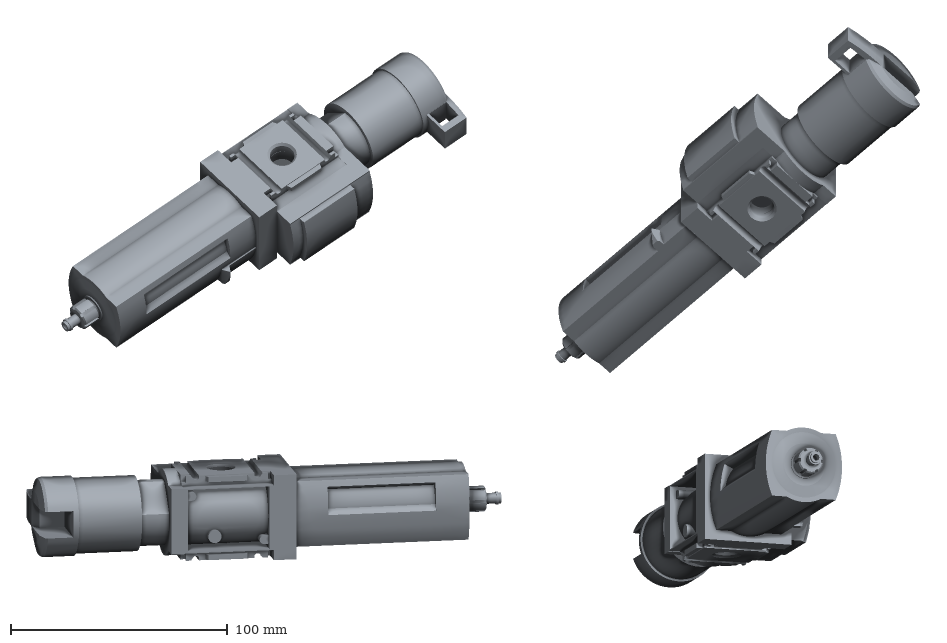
import cadquery as cq

KNOB_TOP = 87.2
CAP_RIM = 85.7
CAP_SHOULDER = 84.3
SLOT_FLOOR = 72.5
CAP_BASE = 70.0
KNOB_BASE = 40.2
HEAD_TOP = 27.0
HEAD_BASE = 21.2
COLLAR_TOP = -21.0
COLLAR_BASE = -31.7
BOWL_END = -113.5
BOWL_DISC = -114.0
NUT_TOP = -115.8
NUT_END = -123.9
BARB_START = -129.0
STEM_END = -131.3

HALF_WIDTH = 21.09
HALF_HEIGHT = 20.0
HEAD_HALF_HEIGHT = 15.5
RAIL_HALF_HEIGHT = 15.3
PAD_HALF_WIDTH = 15.0
RECESS_TOP = 19.2
RECESS_BASE = -19.0
RAIL_THICKNESS = 0.5
CORE_RADIUS = RAIL_HALF_HEIGHT - RAIL_THICKNESS
CORE_OFFSET = 2.6
CORNER_HALF_WIDTH = 11.5
CORNER_FLOOR = 16.8
GROOVE_OUTER = 16.8
GROOVE_INNER = 13.1
GROOVE_DEPTH = 2.2
GROOVE_LOWEST = 14.5
GROOVE_ARC_START = 15.7
GROOVE_ARC_DEPTH = 1.5
STUB_WIDTH = 1.3
STUB_END = 19.2
LIP_REACH = 2.5
LIP_TOP = 19.7
LIP_BASE = 17.3
LIP_HALF_LENGTH = 9.0
LIP_ROOT_HALF_LENGTH = 10.0
PORT_DIAMETER = 11.4
PORT_MOUTH_DIAMETER = 13.5
PORT_DEPTH = 11.0
BOSS_FACE = -18.1
BOSS_DIAMETER = 6.1
BOSS_Y = 6.1
BOSS_Z = -8.5
LUG_RADIUS = 2.0
LUG_Y = 16.8
LUG_Z = 11.0

KNOB_RADIUS = 35.2 / 2
CAP_RADIUS = 37.1 / 2
RIM_RADIUS = 18.0
DOME_FLAT_RADIUS = 12.0
NECK_RADIUS = 15.3
NECK_FLAT_DISTANCE = 12.5
FLAT_ANGLE = 45
SLOT_WIDTH = 12.5
SLIDE_START = 4.4
SLIDE_TOP_START = 8.7
SLIDE_END = 30.5
SLIDE_WALL = 3.5
SLIDE_SKIN = 1.3
WINDOW_DROP = 0.7

BOWL_RADIUS = 35.2 / 2
BOWL_FLAT = 15.5
BOWL_SIDE = 18.5
BOWL_CONE_RADIUS = 15.4
BOWL_DISC_RADIUS = 9.95
WINDOW_TOP_Y = -47.0
WINDOW_END_Y = -97.7
WINDOW_HIGH = 12.35
WINDOW_LOW = -0.5
WINDOW_BEVEL = 2.5
WINDOW_FLOOR_RADIUS = 16.2
LATCH_HIGH = -5.2
LATCH_THICKNESS = 0.7
LATCH_RIDGE_TOP = -47.6
LATCH_RIDGE_LENGTH = 4.4
LATCH_RIDGE_REACH = 22.0

FLANGE_RADIUS = 6.5
FLANGE_THICKNESS = 0.55
DRAIN_NECK_RADIUS = 4.8
NUT_RADIUS = 12.0 / 2
NUT_CHAMFER = 0.7
NUT_GROOVES = 6
NUT_GROOVE_WIDTH = 1.5
NUT_GROOVE_DEPTH = 1.0
STEM_RADIUS = 5.0 / 2
BARB_RADIUS = 6.1 / 2
BARB_LENGTH = 1.0
DRAIN_BORE = 3.0
DRAIN_BORE_DEPTH = 6.5

GAUGE_FACE = 30.5
GAUGE_DOME_HALF_HEIGHT = 14.75
GAUGE_DOME_RISE = 2.5
SHIELD_RIM = 33.6
SHIELD_TIP = 35.95
SHIELD_HALF_LENGTH = 15.19


def box(x0, x1, y0, y1, z0, z1):
    """Box between two opposite corners."""
    return cq.Workplane("XY").box(x1 - x0, y1 - y0, z1 - z0, centered=False).translate((x0, y0, z0))


def section(y):
    """Plane across the long axis: local x is X, local y is Z, extruding goes towards -Y."""
    return cq.Workplane("XZ", origin=(0, y, 0))


def rod(radius, y_high, y_low):
    """Cylinder on the long axis."""
    return section(y_high).circle(radius).extrude(y_high - y_low)


def turned(profile):
    """Solid of revolution about the long axis from (radius, y) points that end on the axis."""
    return cq.Workplane("XY").polyline(profile).close().revolve(360, (0, 0, 0), (0, 1, 0))


def with_mirror(shape, plane):
    """The shape joined with its mirror image."""
    return shape.union(shape.mirror(plane))


def head():
    """Top end of the housing: a flat block crossed by a cylinder as high as the housing."""
    block = box(-HALF_WIDTH, HALF_WIDTH, HEAD_BASE, HEAD_TOP, -HEAD_HALF_HEIGHT, HEAD_HALF_HEIGHT)
    return block.union(rod(HALF_HEIGHT, HEAD_TOP, HEAD_BASE))


def side_recess():
    """Opening in the -X side down to the round core."""
    opening = box(-HALF_WIDTH, -CORE_OFFSET, RECESS_BASE, RECESS_TOP, -CORE_RADIUS, CORE_RADIUS)
    return opening.cut(rod(CORE_RADIUS, RECESS_TOP, RECESS_BASE).translate((-CORE_OFFSET, 0, 0)))


def recess_bosses():
    """Flat-faced bosses standing on the core in the side recess."""
    def boss(radius, y, z):
        return cq.Workplane("YZ", origin=(BOSS_FACE, y, z)).circle(radius).extrude(-BOSS_FACE)

    upper_lug = boss(LUG_RADIUS, LUG_Y, LUG_Z).union(
        box(BOSS_FACE, 0, LUG_Y, RECESS_TOP, LUG_Z - LUG_RADIUS, LUG_Z + LUG_RADIUS))
    lower_lug = boss(LUG_RADIUS, -LUG_Y, -LUG_Z).union(
        box(BOSS_FACE, 0, RECESS_BASE, -LUG_Y, -LUG_Z - LUG_RADIUS, -LUG_Z + LUG_RADIUS))
    return boss(BOSS_DIAMETER / 2, BOSS_Y, BOSS_Z).union(upper_lug).union(lower_lug)


def pad_groove():
    """Groove across the pad near its +Y end: a sloped outer wall running into a round floor."""
    return (cq.Workplane("YZ", origin=(-PAD_HALF_WIDTH, 0, 0))
            .moveTo(GROOVE_OUTER, HALF_HEIGHT)
            .lineTo(GROOVE_ARC_START, HALF_HEIGHT - GROOVE_ARC_DEPTH)
            .threePointArc((GROOVE_LOWEST, HALF_HEIGHT - GROOVE_DEPTH), (GROOVE_INNER, HALF_HEIGHT))
            .close().extrude(2 * PAD_HALF_WIDTH))


def pad_corner():
    """Lowered +X +Y corner of the pad, around a small stub beside the groove."""
    notch = box(CORNER_HALF_WIDTH, PAD_HALF_WIDTH, GROOVE_OUTER, HEAD_BASE, CORNER_FLOOR, HALF_HEIGHT)
    stub = box(PAD_HALF_WIDTH - STUB_WIDTH, PAD_HALF_WIDTH, GROOVE_OUTER, STUB_END,
               CORNER_FLOOR, HALF_HEIGHT)
    return notch.cut(stub)


def pad_lip():
    """Overhanging lip with bevelled ends along the +X side of the pad, just below its top."""
    edge = PAD_HALF_WIDTH
    tip = edge + LIP_REACH
    return (cq.Workplane("XY")
            .polyline([(edge, -LIP_ROOT_HALF_LENGTH), (tip, -LIP_HALF_LENGTH),
                       (tip, LIP_HALF_LENGTH), (edge, LIP_ROOT_HALF_LENGTH)]).close()
            .extrude(LIP_TOP - LIP_BASE).translate((0, 0, LIP_BASE)))


def port_pad():
    """Raised connection pad on +Z."""
    pad = box(-PAD_HALF_WIDTH, PAD_HALF_WIDTH, COLLAR_TOP, HEAD_BASE, 0, HALF_HEIGHT)
    pad = pad.cut(with_mirror(pad_groove(), "XZ"))
    pad = pad.cut(with_mirror(with_mirror(pad_corner(), "YZ"), "XZ"))
    return pad.union(with_mirror(pad_lip(), "YZ"))


def port():
    """Countersunk blind hole on +Z."""
    return (cq.Workplane("XY", origin=(0, 0, HALF_HEIGHT - PORT_DEPTH))
            .circle(PORT_DIAMETER / 2).extrude(PORT_DEPTH)
            .faces(">Z").workplane()
            .circle(PORT_MOUTH_DIAMETER / 2)
            .extrude(-(PORT_MOUTH_DIAMETER - PORT_DIAMETER) / 2, taper=45))


def housing():
    collar = box(-HALF_WIDTH, HALF_WIDTH, COLLAR_BASE, COLLAR_TOP, -HALF_HEIGHT, HALF_HEIGHT)
    middle = box(-HALF_WIDTH, HALF_WIDTH, COLLAR_TOP, HEAD_BASE, -RAIL_HALF_HEIGHT, RAIL_HALF_HEIGHT)
    body = middle.union(with_mirror(port_pad(), "XY")).cut(side_recess()).union(recess_bosses())
    body = body.union(collar).union(head())
    return body.cut(port()).cut(port().mirror("XY"))


def neck():
    """Round neck with one spanner flat facing halfway between -X and +Z."""
    beyond_flat = box(-2 * NECK_RADIUS, -NECK_FLAT_DISTANCE, HEAD_TOP, KNOB_BASE,
                      -NECK_RADIUS, NECK_RADIUS)
    return rod(NECK_RADIUS, KNOB_BASE, HEAD_TOP).cut(
        beyond_flat.rotate((0, 0, 0), (0, 1, 0), FLAT_ANGLE))


def lock_slide():
    """Slide filling the +X part of the cap slot and ending in an open handle."""
    top_mid_x = (CAP_RADIUS + SLIDE_TOP_START) / 2
    outline = (cq.Workplane("XY", origin=(0, 0, -SLOT_WIDTH / 2))
               .moveTo(SLIDE_START, SLOT_FLOOR)
               .lineTo(SLIDE_START, CAP_SHOULDER)
               .lineTo(SLIDE_TOP_START, KNOB_TOP)
               .lineTo(top_mid_x, KNOB_TOP)
               .tangentArcPoint((SLIDE_END, CAP_RIM), relative=False)
               .lineTo(SLIDE_END, SLOT_FLOOR).close()
               .extrude(SLOT_WIDTH))
    window_end = SLIDE_END - SLIDE_WALL
    window_floor = SLOT_FLOOR + SLIDE_SKIN
    window = (cq.Workplane("XY", origin=(0, 0, -SLOT_WIDTH / 2))
              .polyline([(KNOB_RADIUS, window_floor), (window_end, window_floor),
                         (window_end, CAP_SHOULDER - WINDOW_DROP), (KNOB_RADIUS, CAP_SHOULDER)])
              .close().extrude(SLOT_WIDTH))
    return outline.cut(window)


def knob():
    grip = turned([(0, KNOB_BASE), (KNOB_RADIUS, KNOB_BASE), (KNOB_RADIUS, CAP_BASE),
                   (CAP_RADIUS, CAP_BASE), (CAP_RADIUS, CAP_SHOULDER), (RIM_RADIUS, CAP_RIM),
                   (DOME_FLAT_RADIUS, KNOB_TOP), (0, KNOB_TOP)])
    slot = box(-CAP_RADIUS, CAP_RADIUS, SLOT_FLOOR, KNOB_TOP, -SLOT_WIDTH / 2, SLOT_WIDTH / 2)
    return grip.cut(slot).union(lock_slide()).union(neck())


def bowl_side_section(y, grow=0.0):
    """Bowl section bounded by flats on Z and bowed sides on X; `grow` moves the sides outwards."""
    corner = BOWL_FLAT + grow
    side = BOWL_SIDE + grow
    return (section(y).moveTo(-corner, -BOWL_FLAT)
            .threePointArc((-side, 0), (-corner, BOWL_FLAT))
            .lineTo(corner, BOWL_FLAT)
            .threePointArc((side, 0), (corner, -BOWL_FLAT)).close())


def bowl_window():
    """Bevelled window on the -X side, down to a round floor."""
    profile = [(-HALF_WIDTH, WINDOW_HIGH + WINDOW_BEVEL), (-WINDOW_FLOOR_RADIUS, WINDOW_HIGH),
               (-WINDOW_FLOOR_RADIUS + 2 * WINDOW_BEVEL, WINDOW_HIGH - WINDOW_BEVEL),
               (-WINDOW_FLOOR_RADIUS + WINDOW_BEVEL, WINDOW_LOW + 2 * WINDOW_BEVEL),
               (-BOWL_SIDE, WINDOW_LOW), (-HALF_WIDTH, WINDOW_LOW - WINDOW_BEVEL)]
    prism = section(WINDOW_TOP_Y).polyline(profile).close().extrude(WINDOW_TOP_Y - WINDOW_END_Y)
    return prism.cut(rod(WINDOW_FLOOR_RADIUS, WINDOW_TOP_Y, WINDOW_END_Y))


def bowl_latch():
    """Latch strip on the lower +X side, ending in a pointed ridge."""
    ridge_end = LATCH_RIDGE_TOP - LATCH_RIDGE_LENGTH
    zone = box(0, 2 * BOWL_SIDE, ridge_end, COLLAR_BASE, -BOWL_FLAT, LATCH_HIGH)
    strip = bowl_side_section(COLLAR_BASE, LATCH_THICKNESS).extrude(COLLAR_BASE - LATCH_RIDGE_TOP)
    ridge = (cq.Workplane("XY", origin=(0, 0, -BOWL_FLAT))
             .polyline([(0, LATCH_RIDGE_TOP), (BOWL_SIDE, LATCH_RIDGE_TOP),
                        (LATCH_RIDGE_REACH, LATCH_RIDGE_TOP - LATCH_RIDGE_LENGTH / 2),
                        (BOWL_SIDE, ridge_end), (0, ridge_end)]).close()
             .extrude(BOWL_FLAT + LATCH_HIGH))
    ridge_limit = bowl_side_section(LATCH_RIDGE_TOP, LATCH_RIDGE_REACH - BOWL_SIDE + LATCH_THICKNESS)
    ridge = ridge.intersect(ridge_limit.extrude(LATCH_RIDGE_LENGTH))
    return strip.intersect(zone).union(ridge)


def bowl():
    length = COLLAR_BASE - BOWL_END
    body = bowl_side_section(COLLAR_BASE).extrude(length).union(rod(BOWL_RADIUS, COLLAR_BASE, BOWL_END))
    body = body.union(bowl_latch())
    body = body.cut(bowl_window()).cut(bowl_window().mirror("YZ"))
    end_cone = turned([(0, BOWL_END), (BOWL_CONE_RADIUS, BOWL_END),
                       (BOWL_DISC_RADIUS, BOWL_DISC), (0, BOWL_DISC)])
    return body.union(end_cone)


def drain_nut():
    """Hand nut with grooves all round."""
    nut = rod(NUT_RADIUS, NUT_TOP, NUT_END).faces("<Y").chamfer(NUT_CHAMFER)
    groove = box(NUT_RADIUS - NUT_GROOVE_DEPTH, NUT_RADIUS, NUT_END, NUT_TOP,
                 -NUT_GROOVE_WIDTH / 2, NUT_GROOVE_WIDTH / 2)
    for i in range(NUT_GROOVES):
        nut = nut.cut(groove.rotate((0, 0, 0), (0, 1, 0), i * 360 / NUT_GROOVES))
    return nut


def drain():
    flange = rod(FLANGE_RADIUS, BOWL_DISC, BOWL_DISC - FLANGE_THICKNESS)
    drain_neck = rod(DRAIN_NECK_RADIUS, BOWL_DISC, NUT_TOP)
    stem = rod(STEM_RADIUS, NUT_END, STEM_END)
    barb = rod(BARB_RADIUS, BARB_START, BARB_START - BARB_LENGTH)
    bore = rod(DRAIN_BORE / 2, STEM_END + DRAIN_BORE_DEPTH, STEM_END)
    return flange.union(drain_neck).union(drain_nut()).union(stem).union(barb).cut(bore)


def filter_regulator():
    return housing().union(knob()).union(bowl()).union(drain())


def bowed_slab(y_high, y_low, rim_x, tip_x):
    """Slab from the housing wall to a +X face bowed about the Y direction."""
    half = GAUGE_DOME_HALF_HEIGHT
    return (section(y_high).moveTo(HALF_WIDTH, -half).lineTo(rim_x, -half)
            .threePointArc((tip_x, 0), (rim_x, half)).lineTo(HALF_WIDTH, half).close()
            .extrude(y_high - y_low))


def pressure_gauge():
    """Gauge block on the +X side with a bowed front and a raised shield."""
    block = box(HALF_WIDTH, GAUGE_FACE, COLLAR_TOP, HEAD_TOP, -HEAD_HALF_HEIGHT, HEAD_HALF_HEIGHT)
    front = bowed_slab(HEAD_TOP, COLLAR_TOP, GAUGE_FACE, GAUGE_FACE + GAUGE_DOME_RISE)
    shield = bowed_slab(SHIELD_HALF_LENGTH, -SHIELD_HALF_LENGTH, SHIELD_RIM, SHIELD_TIP)
    return block.union(front).union(shield)


result = cq.Compound.makeCompound([filter_regulator().val(), pressure_gauge().val()])